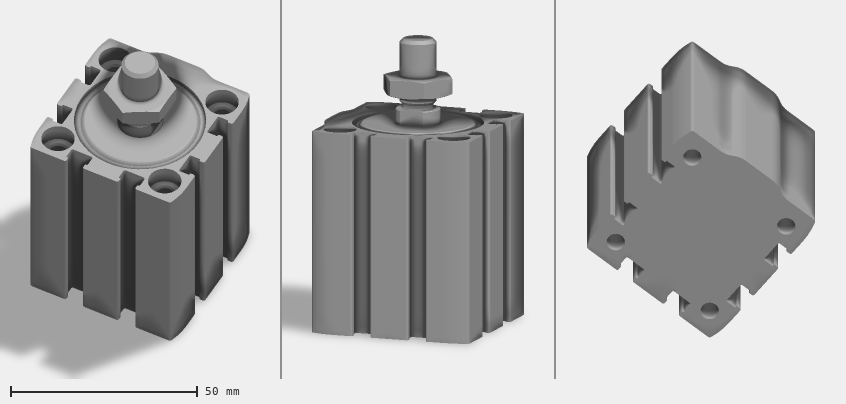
import cadquery as cq
import math


total_height = 78.0
barrel_width = 45.0
barrel_height = 55.0
half_width = barrel_width / 2
position_tolerance = 0.01

side_flat_half = 15.6
side_arc_radius = 20.0
corner_radius = 0.8
bump_height = 2.0
bump_half_top = 4.5
bump_arc_radius = 6.7

slot_offset = 7.95
slot_mouth_width = 5.1
slot_inner_width = 6.4
slot_lip_thickness = 1.55
slot_depth = 4.75
slot_mouth_round = 0.55
slot_lip_round = 0.2
slot_floor_round = 0.5

hole_offset = 16.2
counterbore_diameter = 9.0
counterbore_depth = 5.0
hole_entry_diameter = 6.0
hole_diameter = 4.9

groove_outer_radius = 35.4 / 2
groove_outer_depth = 1.5
ridge_radius = 16.2
ridge_depth = 0.55
valley_outer_radius = 32 / 2
valley_inner_radius = 15.8
valley_depth = 0.8
plate_bevel_radius = 15.2
plate_bevel_depth = 0.15
plate_radius = 14.9

rod_diameter = 12.0
rod_bore_chamfer = 0.3
rod_depth = 10.0
rod_shoulder_height = 4.0
rod_shoulder_chamfer = 0.15
wrench_flat_width = 10.0
wrench_flat_depth = 0.4
wrench_flat_end_angle = 30.0
neck_base_radius = 8.65 / 2
neck_waist_radius = 4.1
neck_top_radius = 4.2
neck_waist_start_height = 4.45
neck_waist_end_height = 4.75
neck_top_height = 5.2
thread_start_height = 6.0
thread_diameter = 10.0
thread_chamfer = 0.9

nut_width = 17.0
nut_thickness = 5.0
nut_height = 7.8
nut_top_land_radius = 8.4
nut_top_bevel_angle = 13.0
nut_bottom_land_radius = 8.3
nut_bottom_bevel_angle = 20.0


def barrel_blank():
    """Plain barrel: bowed side faces and a smooth bump along the +Y face."""
    corner_rise = half_width - side_flat_half
    corner_inset = side_arc_radius - math.sqrt(side_arc_radius**2 - corner_rise**2)
    mid_angle = math.asin(corner_rise / side_arc_radius) / 2
    mid_y = side_flat_half + side_arc_radius * math.sin(mid_angle)
    mid_x = half_width - side_arc_radius * (1 - math.cos(mid_angle))
    corner_x = half_width - corner_inset

    bend = math.acos(1 - bump_height / 2 / bump_arc_radius)
    flank_half = bump_arc_radius * math.sin(bend)
    bump_mid_x = bump_half_top + flank_half
    bump_foot_x = bump_half_top + 2 * flank_half
    bump_mid_y = half_width + bump_height / 2
    bump_top_y = half_width + bump_height

    return (
        cq.Workplane("XY")
        .moveTo(-corner_x, -half_width)
        .lineTo(corner_x, -half_width)
        .threePointArc((mid_x, -mid_y), (half_width, -side_flat_half))
        .lineTo(half_width, side_flat_half)
        .threePointArc((mid_x, mid_y), (corner_x, half_width))
        .lineTo(bump_foot_x, half_width)
        .tangentArcPoint((bump_mid_x, bump_mid_y), relative=False)
        .tangentArcPoint((bump_half_top, bump_top_y), relative=False)
        .lineTo(-bump_half_top, bump_top_y)
        .tangentArcPoint((-bump_mid_x, bump_mid_y), relative=False)
        .tangentArcPoint((-bump_foot_x, half_width), relative=False)
        .lineTo(-corner_x, half_width)
        .threePointArc((-mid_x, mid_y), (-half_width, side_flat_half))
        .lineTo(-half_width, -side_flat_half)
        .threePointArc((-mid_x, -mid_y), (-corner_x, -half_width))
        .close()
        .extrude(barrel_height)
        .edges("|Z")
        .filter(lambda edge: math.isclose(abs(edge.Center().x), corner_x, abs_tol=position_tolerance))
        .fillet(corner_radius)
    )


def sensor_slot(across):
    """T-slot opening on the -Y face, centred at X = across, along the full height."""
    mouth = (
        cq.Workplane("XY")
        .rect(slot_mouth_width, 2 * slot_depth)
        .extrude(barrel_height)
    )
    inner_depth = slot_depth - slot_lip_thickness
    pocket = (
        cq.Workplane("XY")
        .center(0, slot_depth - inner_depth / 2)
        .rect(slot_inner_width, inner_depth)
        .extrude(barrel_height)
    )
    return mouth.union(pocket).translate((across, -half_width, 0))


def cut_sensor_slots(barrel):
    """Two slots on the -X, -Y and +X faces, with rounded edges."""
    for turn in (-90, 0, 90):
        for across in (-slot_offset, slot_offset):
            slot = sensor_slot(across).rotate((0, 0, 0), (0, 0, 1), turn)
            barrel = barrel.cut(slot)

    slot_reach = slot_offset + slot_inner_width / 2 + position_tolerance

    def in_slot(edge):
        x, y = edge.Center().x, edge.Center().y
        return y < slot_reach and min(abs(x), abs(y)) < slot_reach

    def at_depth(depth):
        def matches(edge):
            x, y = edge.Center().x, edge.Center().y
            distance = max(abs(x), abs(y))
            return in_slot(edge) and math.isclose(distance, half_width - depth, abs_tol=position_tolerance)
        return matches

    barrel = barrel.edges("|Z").filter(at_depth(0)).fillet(slot_mouth_round)
    barrel = barrel.edges("|Z").filter(at_depth(slot_lip_thickness)).fillet(slot_lip_round)
    return barrel.edges("|Z").filter(at_depth(slot_depth)).fillet(slot_floor_round)


def mounting_hole():
    """Counterbored through hole on the Z axis with a 45 degree entry chamfer."""
    floor = barrel_height - counterbore_depth
    hole_radius = hole_diameter / 2
    entry_radius = hole_entry_diameter / 2
    return (
        cq.Workplane("XZ")
        .moveTo(0, 0)
        .lineTo(hole_radius, 0)
        .lineTo(hole_radius, floor - (entry_radius - hole_radius))
        .lineTo(entry_radius, floor)
        .lineTo(counterbore_diameter / 2, floor)
        .lineTo(counterbore_diameter / 2, barrel_height)
        .lineTo(0, barrel_height)
        .close()
        .revolve(360, (0, 0), (0, 1))
    )


def ring_groove():
    """Ring-shaped cut around the end plate, with a flat valley and a ridge between its slopes."""
    return (
        cq.Workplane("XZ")
        .moveTo(plate_radius, barrel_height)
        .lineTo(plate_bevel_radius, barrel_height - plate_bevel_depth)
        .lineTo(valley_inner_radius, barrel_height - valley_depth)
        .lineTo(valley_outer_radius, barrel_height - valley_depth)
        .lineTo(ridge_radius, barrel_height - ridge_depth)
        .lineTo(groove_outer_radius, barrel_height - groove_outer_depth)
        .lineTo(groove_outer_radius, barrel_height)
        .close()
        .revolve(360, (0, 0), (0, 1))
    )


def rod_bore():
    """Blind bore that holds the rod, with a chamfered mouth."""
    bore_radius = rod_diameter / 2
    return (
        cq.Workplane("XZ")
        .moveTo(0, barrel_height - rod_depth)
        .lineTo(bore_radius, barrel_height - rod_depth)
        .lineTo(bore_radius, barrel_height - rod_bore_chamfer)
        .lineTo(bore_radius + rod_bore_chamfer, barrel_height)
        .lineTo(0, barrel_height)
        .close()
        .revolve(360, (0, 0), (0, 1))
    )


def make_barrel():
    barrel = cut_sensor_slots(barrel_blank())
    for x in (-hole_offset, hole_offset):
        for y in (-hole_offset, hole_offset):
            barrel = barrel.cut(mounting_hole().translate((x, y, 0)))
    return barrel.cut(ring_groove()).cut(rod_bore())


def wrench_flat_cut():
    """Tool for the +X wrench flat: vertical face with a sloping run-out at its lower end."""
    flat_x = wrench_flat_width / 2
    outer_x = rod_diameter
    flat_bottom = barrel_height - wrench_flat_depth
    run_out = (outer_x - flat_x) * math.tan(math.radians(wrench_flat_end_angle))
    top = barrel_height + rod_shoulder_height
    return (
        cq.Workplane("XZ")
        .moveTo(flat_x, top)
        .lineTo(flat_x, flat_bottom)
        .lineTo(outer_x, flat_bottom - run_out)
        .lineTo(outer_x, top)
        .close()
        .extrude(rod_diameter, both=True)
    )


def make_rod():
    """Piston rod: shank with wrench flats, waisted neck and threaded end."""
    shank_radius = rod_diameter / 2
    thread_radius = thread_diameter / 2
    shoulder = barrel_height + rod_shoulder_height
    rod = (
        cq.Workplane("XZ")
        .moveTo(0, barrel_height - rod_depth)
        .lineTo(shank_radius, barrel_height - rod_depth)
        .lineTo(shank_radius, shoulder - rod_shoulder_chamfer)
        .lineTo(shank_radius - rod_shoulder_chamfer, shoulder)
        .lineTo(neck_base_radius, shoulder)
        .lineTo(neck_waist_radius, barrel_height + neck_waist_start_height)
        .lineTo(neck_waist_radius, barrel_height + neck_waist_end_height)
        .lineTo(neck_top_radius, barrel_height + neck_top_height)
        .lineTo(thread_radius, barrel_height + thread_start_height)
        .lineTo(thread_radius, total_height - thread_chamfer)
        .lineTo(thread_radius - thread_chamfer, total_height)
        .lineTo(0, total_height)
        .close()
        .revolve(360, (0, 0), (0, 1))
    )
    flat_cut = wrench_flat_cut()
    return rod.cut(flat_cut).cut(flat_cut.mirror("YZ"))


def make_nut():
    """Hexagon lock nut with two corners on the Y axis and both faces bevelled."""
    nut_corner_radius = nut_width / math.sqrt(3)
    bottom = barrel_height + nut_height
    top = bottom + nut_thickness
    corner_overhang_top = nut_corner_radius - nut_top_land_radius
    corner_overhang_bottom = nut_corner_radius - nut_bottom_land_radius
    top_drop = corner_overhang_top * math.tan(math.radians(nut_top_bevel_angle))
    bottom_rise = corner_overhang_bottom * math.tan(math.radians(nut_bottom_bevel_angle))
    hexagon = (
        cq.Workplane("XY", origin=(0, 0, bottom))
        .polygon(6, 2 * nut_corner_radius)
        .extrude(nut_thickness)
        .rotate((0, 0, 0), (0, 0, 1), 90)
    )
    bevel_envelope = (
        cq.Workplane("XZ")
        .moveTo(thread_diameter / 2, bottom)
        .lineTo(nut_bottom_land_radius, bottom)
        .lineTo(nut_corner_radius, bottom + bottom_rise)
        .lineTo(nut_corner_radius, top - top_drop)
        .lineTo(nut_top_land_radius, top)
        .lineTo(thread_diameter / 2, top)
        .close()
        .revolve(360, (0, 0), (0, 1))
    )
    return hexagon.intersect(bevel_envelope)


barrel = make_barrel()
rod = make_rod()
nut = make_nut()
result = cq.Compound.makeCompound([*barrel.solids().vals(), *rod.solids().vals(), *nut.solids().vals()])